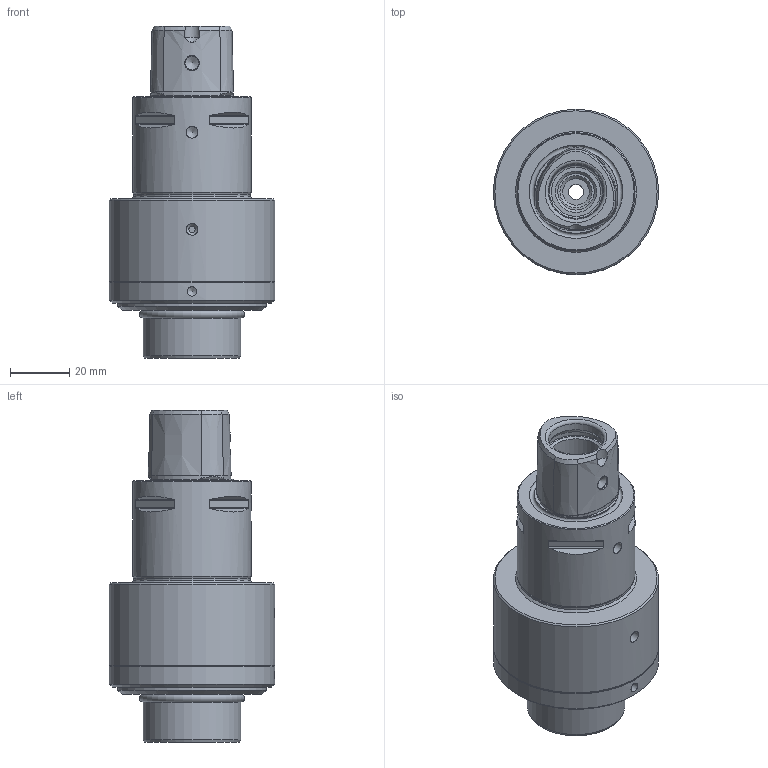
import math

import cadquery as cq


shank_length = 24.0
shank_base_z = 1.7
shank_width = 28.15
lobe_center_radius = 6.2
taper_per_side = 1 / 40
shank_chamfer_height = 1.4
shank_chamfer_inset = 0.7

neck_inset = 0.1
foot_radius = 14.1
foot_top_z = 0.45
undercut_top_radius = 15.0
recess_outer_radius = 15.8
recess_section_radius = 0.85

flange_radius = 20.0
flange_chamfer = 0.3
relief_radius = 19.75
relief_top_z = -32.4
relief_chamfer_height = 0.6
relief_lip_radius = 20.5
relief_lip_z = -33.7
body_radius = 28.0
body_top_z = -34.5
body_top_chamfer = 0.5
joint_z = -62.85
joint_width = 0.4
joint_depth = 0.15
body_bottom_z = -69.9
body_bottom_chamfer = 1.0
collar_radius = 25.2
collar_edge_z = -71.0
collar_bottom_radius = 23.5
collar_bottom_z = -72.3
spigot_radius = 16.5
spigot_bottom_z = -88.5
spigot_chamfer_height = 0.7
spigot_chamfer = 0.3
seal_outer_radius = 17.8
seal_bottom_z = -74.95

mouth_radius = 10.5
mouth_rounding = 1.1
lip_radius = 9.25
lip_z = shank_length - 3.5
clamp_groove_radius = 10.2
clamp_groove_top_z = shank_length - 5.0
clamp_groove_bottom_z = shank_length - 6.5
bore_entry_radius = 9.6
bore_radius = 9.0
bore_bottom_z = 0.0
bore_bottom_rounding = 0.65
counterbore_radius = 7.0
counterbore_bottom_z = -3.0
thread_radius = 6.19
thread_bottom_z = -18.0
pilot_entry_radius = 5.46
pilot_radius = 4.5
pilot_bottom_z = -24.0
coolant_radius = 2.6

key_radius = 2.75
key_center_y = -13.8
key_straight_depth = 3.8
key_tip_depth = 2.8

wrench_count = 4
first_wrench_angle = 45.0
wrench_z = -7.87
wrench_floor_distance = 17.65
wrench_floor_fillet = 0.4
wrench_floor_width = 2.9
wrench_mouth_width = 5.4

drill_tip_angle = 118.0
entry_clearance = 1.0
shank_hole_radius = 2.3
shank_hole_rim_radius = 2.6
shank_hole_z = 11.5
shank_hole_depth = 0.5
flange_hole_radius = 2.0
flange_hole_z = -12.0
flange_hole_depth = 5.0
body_hole_radius = 2.0
body_hole_z = -44.9
body_hole_depth = 4.0
body_socket_radius = 1.055
body_socket_depth = 2.0
ring_hole_radius = 1.6
ring_hole_z = -65.95
ring_hole_depth = 4.0


def polar(center, radius, degrees):
    """Point at a given distance and direction from a centre."""
    angle = math.radians(degrees)
    return (center[0] + radius * math.cos(angle), center[1] + radius * math.sin(angle))


def lobed_wire(z, inset):
    """Constant-width outline of three small and three large tangent arcs, shrunk by inset."""
    radius_difference = lobe_center_radius * math.sqrt(3)
    lobe_radius = (shank_width - radius_difference) / 2 - inset
    flank_radius = (shank_width + radius_difference) / 2 - inset
    start = polar(polar((0, 0), lobe_center_radius, 90), lobe_radius, 60)
    outline = cq.Workplane("XY", origin=(0, 0, z)).moveTo(*start)
    for lobe_angle in (90, 210, 330):
        lobe_center = polar((0, 0), lobe_center_radius, lobe_angle)
        outline = outline.threePointArc(
            polar(lobe_center, lobe_radius, lobe_angle),
            polar(lobe_center, lobe_radius, lobe_angle + 30),
        )
        flank_center = polar((0, 0), lobe_center_radius, lobe_angle - 120)
        outline = outline.threePointArc(
            polar(flank_center, flank_radius, lobe_angle + 60),
            polar(flank_center, flank_radius, lobe_angle + 90),
        )
    return outline.close().val()


def revolve_profile(points):
    """Solid of revolution about Z from (radius, z) points."""
    return cq.Workplane("XZ").polyline(points).close().revolve(360, (0, 0), (0, 1))


def make_shank():
    """Tapered lobed shank with its end chamfer and the straight neck below it."""
    chamfer_z = shank_length - shank_chamfer_height
    chamfer_inset = (chamfer_z - shank_base_z) * taper_per_side
    base = lobed_wire(shank_base_z, 0)
    shoulder = lobed_wire(chamfer_z, chamfer_inset)
    top = lobed_wire(shank_length, chamfer_inset + shank_chamfer_inset)
    taper = cq.Solid.makeLoft([base, shoulder], True)
    chamfer = cq.Solid.makeLoft([shoulder, top], True)
    neck = cq.Solid.makeLoft([lobed_wire(0, neck_inset), lobed_wire(shank_base_z, neck_inset)], True)
    return cq.Workplane(taper).union(cq.Workplane(chamfer)).union(cq.Workplane(neck))


def make_turned_body():
    """Foot of the neck, flange, relief, main body, collar and spigot as one turned solid."""
    return revolve_profile([
        (0, foot_top_z),
        (foot_radius, foot_top_z),
        (foot_radius, 0),
        (flange_radius - flange_chamfer, 0),
        (flange_radius, -flange_chamfer),
        (flange_radius, relief_top_z),
        (relief_radius, relief_top_z - relief_chamfer_height),
        (relief_radius, relief_lip_z),
        (relief_lip_radius, body_top_z),
        (body_radius - body_top_chamfer, body_top_z),
        (body_radius, body_top_z - body_top_chamfer),
        (body_radius, body_bottom_z + body_bottom_chamfer),
        (body_radius - body_bottom_chamfer, body_bottom_z),
        (collar_radius, body_bottom_z),
        (collar_radius, collar_edge_z),
        (collar_bottom_radius, collar_bottom_z),
        (spigot_radius, collar_bottom_z),
        (spigot_radius, spigot_bottom_z + spigot_chamfer_height),
        (spigot_radius - spigot_chamfer, spigot_bottom_z),
        (0, spigot_bottom_z),
    ])


def make_seal_ring():
    """Rounded ring against the collar around the spigot."""
    return (
        cq.Workplane("XZ")
        .moveTo(spigot_radius, seal_bottom_z)
        .threePointArc(
            (seal_outer_radius, (seal_bottom_z + collar_bottom_z) / 2),
            (spigot_radius, collar_bottom_z),
        )
        .lineTo(0, collar_bottom_z)
        .lineTo(0, seal_bottom_z)
        .close()
        .revolve(360, (0, 0), (0, 1))
    )


def make_neck_undercut():
    """Ring that trims the neck lobes to a cone flaring outward from the foot."""
    return revolve_profile([
        (foot_radius, 0),
        (foot_radius, foot_top_z),
        (undercut_top_radius, shank_base_z),
        (flange_radius, shank_base_z),
        (flange_radius, 0),
    ])


def make_neck_recess():
    """Round-section annular recess in the flange face, biting slightly into the foot of the neck."""
    section_center = recess_outer_radius - recess_section_radius
    return cq.Workplane(cq.Solid.makeTorus(section_center, recess_section_radius))


def make_joint_groove():
    """Shallow groove that marks the clamping ring off from the body."""
    outer = cq.Workplane("XY", origin=(0, 0, joint_z)).circle(body_radius + joint_depth)
    return outer.circle(body_radius - joint_depth).extrude(joint_width)


def make_bore():
    """Stepped bore with a rounded mouth, a clamping groove and a coolant passage."""
    mouth_throat_radius = mouth_radius - mouth_rounding
    arc_gap = 1 - math.sqrt(0.5)
    profile = (
        cq.Workplane("XZ")
        .moveTo(0, shank_length)
        .lineTo(mouth_radius, shank_length)
        .threePointArc(
            (
                mouth_throat_radius + mouth_rounding * arc_gap,
                shank_length - mouth_rounding * arc_gap,
            ),
            (mouth_throat_radius, shank_length - mouth_rounding),
        )
        .lineTo(lip_radius, lip_z)
        .lineTo(clamp_groove_radius, clamp_groove_top_z)
        .lineTo(clamp_groove_radius, clamp_groove_bottom_z)
        .lineTo(bore_entry_radius, clamp_groove_bottom_z)
        .lineTo(bore_radius, clamp_groove_bottom_z - bore_entry_radius + bore_radius)
        .lineTo(bore_radius, bore_bottom_z + bore_bottom_rounding)
        .threePointArc(
            (
                bore_radius - bore_bottom_rounding * arc_gap,
                bore_bottom_z + bore_bottom_rounding * arc_gap,
            ),
            (bore_radius - bore_bottom_rounding, bore_bottom_z),
        )
        .lineTo(counterbore_radius, bore_bottom_z)
        .lineTo(counterbore_radius, counterbore_bottom_z)
        .lineTo(thread_radius, counterbore_bottom_z - counterbore_radius + thread_radius)
        .lineTo(thread_radius, thread_bottom_z)
        .lineTo(pilot_entry_radius, thread_bottom_z)
        .lineTo(pilot_radius, thread_bottom_z - pilot_entry_radius + pilot_radius)
        .lineTo(pilot_radius, pilot_bottom_z)
        .lineTo(coolant_radius, pilot_bottom_z)
        .lineTo(coolant_radius, spigot_bottom_z)
        .lineTo(0, spigot_bottom_z)
        .close()
    )
    return profile.revolve(360, (0, 0), (0, 1))


def make_keyway():
    """Round keyway parallel to the axis, ending in a drill point."""
    straight_z = shank_length - key_straight_depth
    drill = revolve_profile([
        (0, shank_length),
        (key_radius, shank_length),
        (key_radius, straight_z),
        (0, straight_z - key_tip_depth),
    ])
    return drill.translate((0, key_center_y, 0))


def make_wrench_recess(angle):
    """Recess with a flat floor and flared flanks, facing the given direction."""
    half_floor = wrench_floor_width / 2
    half_mouth = wrench_mouth_width / 2
    return (
        cq.Workplane("XZ", origin=(0, 0, wrench_z))
        .polyline([
            (wrench_floor_distance, -half_floor),
            (flange_radius, -half_mouth),
            (flange_radius, half_mouth),
            (wrench_floor_distance, half_floor),
        ])
        .close()
        .extrude(flange_radius, both=True)
        .faces("<X")
        .edges("|Y")
        .fillet(wrench_floor_fillet)
        .rotate((0, 0, 0), (0, 0, 1), angle)
    )


def radial_tool(profile, surface_distance, z):
    """Turned cutter entering the -Y side; profile points are (radius, height above the surface)."""
    cutter = revolve_profile(profile).rotate((0, 0, 0), (1, 0, 0), 90)
    return cutter.translate((0, -surface_distance, z))


def drilled_profile(radius, depth):
    """Blind hole outline with a pointed end."""
    tip = radius / math.tan(math.radians(drill_tip_angle / 2))
    return [(0, entry_clearance), (radius, entry_clearance), (radius, -depth), (0, -depth - tip)]


def make_radial_holes():
    """Cutters for the four radial holes and the countersunk rim of the uppermost one."""
    shank_inset = (shank_hole_z - shank_base_z) * taper_per_side
    flank_distance = shank_width / 2 - lobe_center_radius * (1 - math.sqrt(3) / 2) - shank_inset
    shank_hole = radial_tool(
        drilled_profile(shank_hole_radius, shank_hole_depth),
        flank_distance,
        shank_hole_z,
    )
    rim_depth = shank_hole_rim_radius - shank_hole_radius
    rim = radial_tool(
        [
            (0, rim_depth),
            (shank_hole_rim_radius + rim_depth, rim_depth),
            (shank_hole_radius, -rim_depth),
            (0, -rim_depth),
        ],
        flank_distance,
        shank_hole_z,
    )
    flange_hole = radial_tool(
        drilled_profile(flange_hole_radius, flange_hole_depth),
        flange_radius,
        flange_hole_z,
    )
    ring_hole = radial_tool(drilled_profile(ring_hole_radius, ring_hole_depth), body_radius, ring_hole_z)
    cone_bottom = -body_hole_depth - (body_hole_radius - body_socket_radius)
    body_hole = radial_tool(
        [
            (0, entry_clearance),
            (body_hole_radius, entry_clearance),
            (body_hole_radius, -body_hole_depth),
            (body_socket_radius, cone_bottom),
            (body_socket_radius, cone_bottom - body_socket_depth),
            (0, cone_bottom - body_socket_depth),
        ],
        body_radius,
        body_hole_z,
    )
    return [shank_hole, rim, flange_hole, body_hole, ring_hole]


part = make_turned_body().union(make_shank()).union(make_seal_ring())
part = part.cut(make_neck_undercut()).cut(make_neck_recess()).cut(make_joint_groove())
part = part.cut(make_bore()).cut(make_keyway())
for index in range(wrench_count):
    part = part.cut(make_wrench_recess(first_wrench_angle + index * 360 / wrench_count))
for hole in make_radial_holes():
    part = part.cut(hole)

result = part